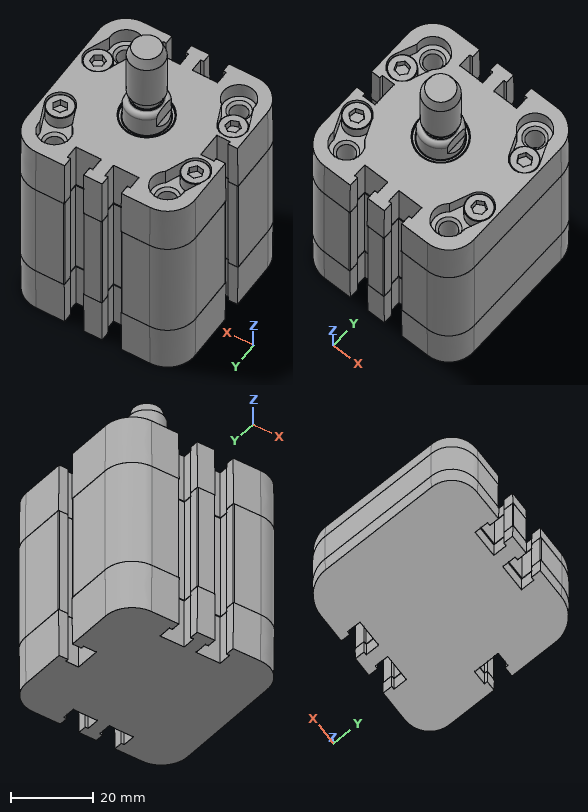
import cadquery as cq
import math

side = 49.0
total_height = 84.5
body_height = 59.0
cover_height = 14.2
corner_radius = 8.1
cover_narrowing = 0.2

slot_offset = 5.4
lip_depth = 2.9
slot_throat = 5.5
cover_channel = 7.3
cover_slot_depth = 6.7
tube_lip_chamfer = 0.25
tube_channel = 7.1
tube_slot_depth = 6.4

mount_hole_place = 16.2
mount_hole_diameter = 4.9
mount_hole_depth = 10.1
countersink_diameter = 6.4
pocket_round_diameter = 9.0
pocket_slot_width = 7.9
pocket_depth = 4.4

screw_x = 19.4
screw_y = 8.5
screw_head_diameter = 7.5
screw_head_chamfer = 0.2
screw_head_recess = 0.6
socket_corner_diameter = 4.05
socket_depth = 2.0
screw_corners = [(-1, -1, 20.0), (-1, 1, -10.0), (1, -1, 30.0), (1, 1, 0.0)]

rod_diameter = 12.0
thread_diameter = 10.0
thread_tip_diameter = 7.9
thread_tip_height = 2.9
thread_bottom = 68.4
undercut_diameter = 7.9
undercut_slope_height = 0.8
shoulder_step_diameter = 8.5
shoulder_step_height = 0.25
shoulder_height = 65.6
shoulder_flat_diameter = 9.0
flat_width = 10.0
flat_bottom = 61.1

seal_steps = [(14.4, 0.2), (14.0, 0.3), (13.7, 0.5), (12.5, 0.7)]

tube_bottom = cover_height
tube_top = body_height - cover_height


def slot_cutter(x, turn, channel, depth, lip_chamfer):
    """T-slot opening toward -Y at the given X, then turned about Z."""
    face = -side / 2
    mouth = cq.Workplane("XY").rect(slot_throat, 2 * lip_depth).extrude(body_height)
    if lip_chamfer:
        wide = slot_throat / 2 + lip_chamfer
        narrow = slot_throat / 2
        corners = [(-wide, 0), (wide, 0), (narrow, lip_chamfer), (-narrow, lip_chamfer)]
        mouth = mouth.union(cq.Workplane("XY").polyline(corners).close().extrude(body_height))
    mouth = mouth.translate((x, face, 0))
    inner = cq.Workplane("XY").rect(channel, depth - lip_depth).extrude(body_height)
    inner = inner.translate((x, face + (lip_depth + depth) / 2, 0))
    return mouth.union(inner).rotate((0, 0, 0), (0, 0, 1), turn)


def cut_slots(body, channel, depth, lip_chamfer=0):
    """Two slots on the -Y and +Y sides and one on the -X side."""
    for turn in (0, 180):
        for x in (-slot_offset, slot_offset):
            body = body.cut(slot_cutter(x, turn, channel, depth, lip_chamfer))
    return body.cut(slot_cutter(0, -90, channel, depth, lip_chamfer))


def make_tube():
    """Middle profile between the two covers."""
    tube = cq.Workplane("XY").workplane(offset=tube_bottom).rect(side, side).extrude(tube_top - tube_bottom)
    tube = tube.edges("|Z").fillet(corner_radius)
    return cut_slots(tube, tube_channel, tube_slot_depth, tube_lip_chamfer)


def cover_blank():
    """Slightly tapered block with its wide face at Z = 0."""
    outline = cq.Sketch().rect(side, side).vertices().fillet(corner_radius)
    draft = math.degrees(math.atan(cover_narrowing / cover_height))
    return cq.Workplane("XY").placeSketch(outline).extrude(cover_height, taper=draft)


def make_rear_cover():
    """Lower cover, narrowing downward."""
    cover = cover_blank().mirror("XY").translate((0, 0, tube_bottom))
    return cut_slots(cover, cover_channel, cover_slot_depth)


def cut_pocket(cover, sign_x, sign_y):
    """Keyhole-shaped pocket with a countersunk mounting hole in its floor."""
    floor = body_height - pocket_depth
    hole_x = sign_x * mount_hole_place
    hole_y = sign_y * mount_hole_place
    across_x = sign_x * screw_x - hole_x
    across_y = sign_y * screw_y - hole_y
    length = math.hypot(across_x, across_y)
    angle = math.degrees(math.atan2(across_y, across_x))
    slot = cq.Workplane("XY").slot2D(length + pocket_slot_width, pocket_slot_width).extrude(pocket_depth)
    slot = slot.rotate((0, 0, 0), (0, 0, 1), angle)
    slot = slot.translate((hole_x + across_x / 2, hole_y + across_y / 2, floor))
    round_end = cq.Workplane("XY").circle(pocket_round_diameter / 2).extrude(pocket_depth)
    hole = cq.Workplane("XY").circle(mount_hole_diameter / 2).extrude(-mount_hole_depth)
    round_end = round_end.union(hole).translate((hole_x, hole_y, floor))
    countersink_depth = (countersink_diameter - mount_hole_diameter) / 2
    cone = cq.Solid.makeCone(
        countersink_diameter / 2,
        mount_hole_diameter / 2,
        countersink_depth,
        pnt=cq.Vector(hole_x, hole_y, floor),
        dir=cq.Vector(0, 0, -1),
    )
    return cover.cut(slot).cut(round_end).cut(cq.Workplane(cone))


def screw_head(sign_x, sign_y, socket_turn):
    """Cylindrical head with a hexagon socket, standing on the pocket floor."""
    height = pocket_depth - screw_head_recess
    head = cq.Workplane("XY").circle(screw_head_diameter / 2).extrude(height)
    head = head.faces(">Z").chamfer(screw_head_chamfer)
    socket = cq.Workplane("XY").workplane(offset=height).polygon(6, socket_corner_diameter)
    head = head.cut(socket.extrude(-socket_depth).rotate((0, 0, 0), (0, 0, 1), socket_turn))
    return head.translate((sign_x * screw_x, sign_y * screw_y, body_height - pocket_depth))


def make_front_cover():
    """Upper cover with the rod bore, stepped seal opening, pockets and screw heads."""
    cover = cut_slots(cover_blank().translate((0, 0, tube_top)), cover_channel, cover_slot_depth)
    cover = cover.cut(cq.Workplane("XY").circle(rod_diameter / 2).extrude(body_height))
    for diameter, depth in seal_steps:
        step = cq.Workplane("XY").circle(diameter / 2).extrude(depth)
        cover = cover.cut(step.translate((0, 0, body_height - depth)))
    for sign_x, sign_y, socket_turn in screw_corners:
        cover = cut_pocket(cover, sign_x, sign_y)
        cover = cover.union(screw_head(sign_x, sign_y, socket_turn))
    return cover


def make_rod():
    """Turned rod running from the tube through the front cover to the threaded tip."""
    rod_radius = rod_diameter / 2
    fillet = (rod_diameter - shoulder_flat_diameter) / 2
    undercut_radius = undercut_diameter / 2
    step_radius = shoulder_step_diameter / 2
    step_top = shoulder_height + shoulder_step_height
    thread_radius = thread_diameter / 2
    arc_middle = fillet * math.sqrt(0.5)
    rod = (
        cq.Workplane("XZ")
        .moveTo(0, tube_top)
        .lineTo(rod_radius, tube_top)
        .lineTo(rod_radius, shoulder_height - fillet)
        .threePointArc(
            (rod_radius - fillet + arc_middle, shoulder_height - fillet + arc_middle),
            (rod_radius - fillet, shoulder_height),
        )
        .lineTo(step_radius, shoulder_height)
        .lineTo(step_radius, step_top)
        .lineTo(undercut_radius, step_top)
        .lineTo(undercut_radius, thread_bottom - undercut_slope_height)
        .lineTo(thread_radius, thread_bottom)
        .lineTo(thread_radius, total_height - thread_tip_height)
        .lineTo(thread_tip_diameter / 2, total_height)
        .lineTo(0, total_height)
        .close()
        .revolve(360, (0, 0, 0), (0, 1, 0))
    )
    return cut_wrench_flats(rod)


def cut_wrench_flats(rod):
    """Two flats facing -X and +X, each ending in a 45 degree slope."""
    flat = flat_width / 2
    reach = rod_diameter
    for sign in (-1, 1):
        cutter = (
            cq.Workplane("XZ")
            .moveTo(sign * flat, flat_bottom)
            .lineTo(sign * flat, shoulder_height)
            .lineTo(sign * reach, shoulder_height)
            .lineTo(sign * reach, flat_bottom - (reach - flat))
            .close()
            .extrude(rod_diameter, both=True)
        )
        rod = rod.cut(cutter)
    return rod


rear_cover = make_rear_cover()
tube = make_tube()
front_cover = make_front_cover()
rod = make_rod()

result = cq.Compound.makeCompound([rear_cover.val(), tube.val(), front_cover.val(), rod.val()])